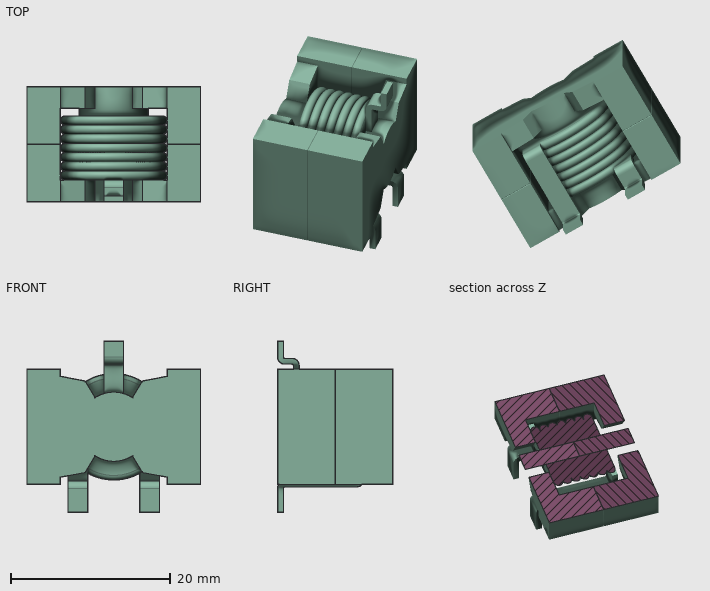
import cadquery as cq
import math

core_width = 21.8
core_height = 14.5
core_depth = 14.5
back_thickness = 2.73
window_half_width = 6.7
post_radius = 4.35
shoulder_height = 6.35
neck_half_width = 3.6
neck_height = 5.75
notch_half_width = 2.35
joint_chamfer = 0.05
front_face = -core_depth / 2
window_face = front_face + back_thickness

turn_count = 7
turn_pitch = 1.155
rim_radius = turn_pitch / 2
winding_radius = 6.7
rim_start = winding_radius - rim_radius
winding_front = window_face
winding_back = winding_front + turn_count * turn_pitch

strip_thickness = 0.75
strip_width = 2.5
inner_bend = 0.15
outer_bend = inner_bend + strip_thickness
foot_end = 10.75
foot_back = front_face + strip_thickness
lead_offset = 4.5
lead_run_top = -6.83
lead_run_bottom = lead_run_top - strip_thickness
tab_run_top = 8.6
tab_run_bottom = tab_run_top - strip_thickness


def make_core_half():
    """Front half: waisted back plate, round centre post and two outer legs."""
    notch_depth = math.sqrt(post_radius**2 - notch_half_width**2)
    upper_right = [
        (notch_half_width, notch_depth),
        (neck_half_width, neck_height),
        (window_half_width, shoulder_height),
        (window_half_width, core_height / 2),
        (core_width / 2, core_height / 2),
    ]
    right_side = upper_right + [(x, -z) for x, z in reversed(upper_right)]
    left_side = [(-x, z) for x, z in reversed(right_side)]
    reach = -front_face
    outer_plane = cq.Workplane("XZ", origin=(0, front_face, 0))
    block = outer_plane.polyline(right_side + left_side).close().extrude(-reach)
    window = (
        cq.Workplane("XZ", origin=(0, window_face, 0))
        .rect(2 * window_half_width, core_height)
        .extrude(-(reach - back_thickness))
    )
    post = outer_plane.circle(post_radius).extrude(-reach)
    half = block.cut(window).union(post)
    return half.faces(">Y").edges("not %CIRCLE").chamfer(joint_chamfer)


def make_turn(front):
    """One flat ring around the post, with a half-round outer rim."""
    back = front + turn_pitch
    return (
        cq.Workplane("XY")
        .moveTo(post_radius, front)
        .lineTo(rim_start, front)
        .threePointArc((winding_radius, front + rim_radius), (rim_start, back))
        .lineTo(post_radius, back)
        .close()
        .revolve(360, (0, 0, 0), (0, 1, 0))
    )


def make_bent_strip(outline, x_center, outer_corners, inner_corners):
    """Extrude a YZ side outline to the strip width and round its bends."""
    strip = (
        cq.Workplane("YZ", origin=(x_center - strip_width / 2, 0, 0))
        .polyline(outline)
        .close()
        .extrude(strip_width)
    )
    for corners, radius in ((outer_corners, outer_bend), (inner_corners, inner_bend)):
        for index in corners:
            y, z = outline[index]
            corner_edge = cq.selectors.NearestToPointSelector((x_center, y, z))
            strip = strip.edges(corner_edge).fillet(radius)
    return strip


def make_lead(x_center, riser_back):
    """Winding end: drops from a turn, runs forward under the core, then turns down."""
    riser_front = riser_back - strip_thickness
    riser_top = -math.sqrt(rim_start**2 - lead_offset**2)
    outline = [
        (riser_back, riser_top),
        (riser_back, lead_run_bottom),
        (foot_back, lead_run_bottom),
        (foot_back, -foot_end),
        (front_face, -foot_end),
        (front_face, lead_run_top),
        (riser_front, lead_run_top),
        (riser_front, riser_top),
    ]
    return make_bent_strip(outline, x_center, outer_corners=(1, 5), inner_corners=(2, 6))


def make_winding():
    """Stacked turns joined with the leads of the first and the last turn."""
    winding = make_turn(winding_front)
    for index in range(1, turn_count):
        winding = winding.union(make_turn(winding_front + index * turn_pitch))
    first_lead = make_lead(-lead_offset, winding_front + strip_thickness)
    last_lead = make_lead(lead_offset, winding_back)
    return winding.union(first_lead).union(last_lead)


def make_tab():
    """Top terminal: stands on the post before the winding and jogs forward."""
    tab_back = winding_front
    tab_front = tab_back - strip_thickness
    outline = [
        (tab_back, 0),
        (tab_back, tab_run_top),
        (foot_back, tab_run_top),
        (foot_back, foot_end),
        (front_face, foot_end),
        (front_face, tab_run_bottom),
        (tab_front, tab_run_bottom),
        (tab_front, 0),
    ]
    tab = make_bent_strip(outline, 0, outer_corners=(1, 5), inner_corners=(2, 6))
    post = cq.Workplane("XZ").circle(post_radius).extrude(-front_face)
    return tab.cut(post)


core_front = make_core_half()
core_back = core_front.mirror("XZ")
winding = make_winding()
tab = make_tab()

result = cq.Compound.makeCompound([core_front.val(), core_back.val(), winding.val(), tab.val()])